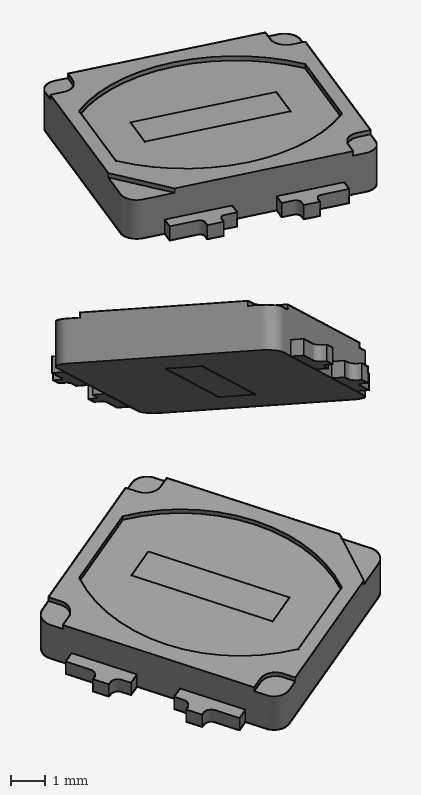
import cadquery as cq

total_length = 8.5
body_length = 7.02
body_width = 8.0
body_height = 1.5
body_corner_radius = 0.5

step_depth = 0.15
corner_step_size = 0.9
corner_step_radius = 0.5
bevel_leg = 1.5

recess_depth = 0.15
recess_length = 5.92
recess_width = 7.09
recess_flat_length = 2.94

bar_length = 1.14
bar_width = 4.57
bar_height = body_height - recess_depth

lead_height = 0.49
foot_reach = 0.4
foot_inner_y = 0.7
foot_outer_y = 2.81
tab_inner_y = 1.25
tab_outer_y = 1.77
left_tab_radius = 0.25
right_tab_radius = 0.17


def make_corner_step(side_x, side_y):
    """Cutter for the shallow step at one corner, rounded toward the middle of the top."""
    center_x = side_x * (body_length - corner_step_size) / 2
    center_y = side_y * (body_width - corner_step_size) / 2
    inner_edge = cq.selectors.NearestToPointSelector((0, 0, body_height))
    return (
        cq.Workplane("XY", origin=(center_x, center_y, body_height - step_depth))
        .rect(corner_step_size, corner_step_size)
        .extrude(step_depth)
        .edges("|Z")
        .edges(inner_edge)
        .fillet(corner_step_radius)
    )


def make_bevel_step():
    """Cutter for the triangular step at the +X -Y corner."""
    corner_x = body_length / 2
    corner_y = -body_width / 2
    return (
        cq.Workplane("XY", origin=(0, 0, body_height - step_depth))
        .moveTo(corner_x, corner_y)
        .lineTo(corner_x, corner_y + bevel_leg)
        .lineTo(corner_x - bevel_leg, corner_y)
        .close()
        .extrude(step_depth)
    )


def make_recess():
    """Cutter for the barrel-shaped recess."""
    flat_x = recess_flat_length / 2
    end_y = recess_width / 2
    bow_x = recess_length / 2
    return (
        cq.Workplane("XY", origin=(0, 0, body_height - recess_depth))
        .moveTo(-flat_x, -end_y)
        .lineTo(flat_x, -end_y)
        .threePointArc((bow_x, 0), (flat_x, end_y))
        .lineTo(-flat_x, end_y)
        .threePointArc((-bow_x, 0), (-flat_x, -end_y))
        .close()
        .extrude(recess_depth)
    )


def make_bar():
    """Bar standing from the underside up to the recess floor."""
    return cq.Workplane("XY").rect(bar_length, bar_width).extrude(bar_height)


def make_housing():
    """Rounded block with its recess, corner steps and the opening for the bar."""
    housing = (
        cq.Workplane("XY")
        .rect(body_length, body_width)
        .extrude(body_height)
        .edges("|Z")
        .fillet(body_corner_radius)
    )
    for side_x, side_y in [(-1, -1), (-1, 1), (1, 1)]:
        housing = housing.cut(make_corner_step(side_x, side_y))
    return housing.cut(make_bevel_step()).cut(make_recess()).cut(make_bar())


def make_lead(side_x, side_y, tab_radius):
    """One lead against the housing side, with fillets where the tab leaves the foot."""
    inner_x = side_x * body_length / 2
    foot_x = inner_x + side_x * foot_reach
    tip_x = side_x * total_length / 2
    outline = [
        (inner_x, foot_inner_y),
        (foot_x, foot_inner_y),
        (foot_x, tab_inner_y),
        (tip_x, tab_inner_y),
        (tip_x, tab_outer_y),
        (foot_x, tab_outer_y),
        (foot_x, foot_outer_y),
        (inner_x, foot_outer_y),
    ]
    lead = (
        cq.Workplane("XY")
        .polyline([(x, side_y * y) for x, y in outline])
        .close()
        .extrude(lead_height)
    )
    for root_y in (tab_inner_y, tab_outer_y):
        root = cq.selectors.NearestToPointSelector((foot_x, side_y * root_y, lead_height / 2))
        lead = lead.edges("|Z").edges(root).fillet(tab_radius)
    return lead


housing = make_housing()
bar = make_bar()
leads = []
for side_x, tab_radius in [(-1, left_tab_radius), (1, right_tab_radius)]:
    for side_y in (-1, 1):
        leads.append(make_lead(side_x, side_y, tab_radius).val())

result = cq.Compound.makeCompound([housing.val(), bar.val(), *leads])